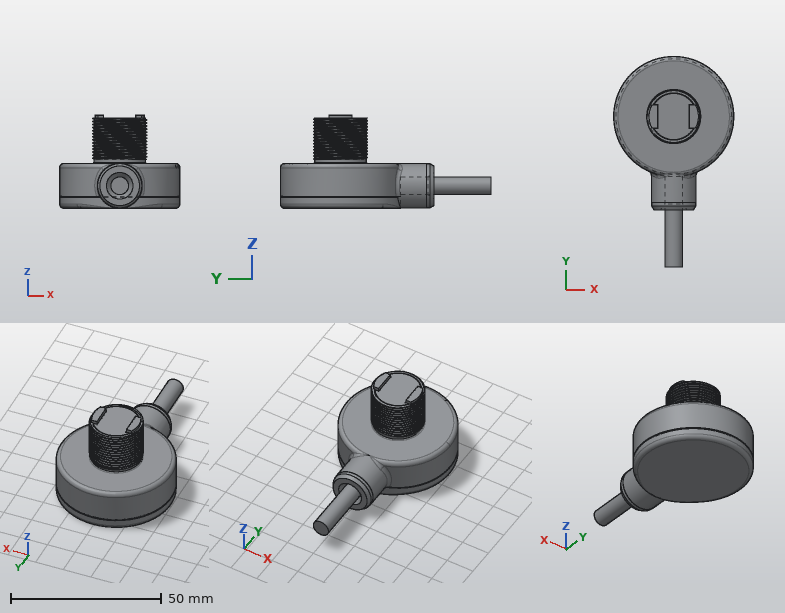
import cadquery as cq
import math

total_length = 70.2
body_diameter = 40.1
body_radius = body_diameter / 2
body_top = 15.0
body_bottom = 4.0
rim_round = 1.5
cover_height = 3.65
groove_depth = 0.8
runout_angle = 45
runout_radius = 0.01

boss_diameter = 14.95
boss_radius = boss_diameter / 2
boss_z = body_top - boss_radius
boss_end = 28.65
boss_blend = 1.5

gland_radius = 7.4
gland_end = 31.2
gland_chamfer_length = 1.3
gland_chamfer_depth = 0.8

cable_radius = 2.95
cable_start = body_radius
cable_end = total_length - body_radius
mouth_radius = 4.4
mouth_depth = 2.1

stem_top = 30.1
stem_radius = 8.65
stem_flare = 0.35

crest_diameter = 18.05
crest_radius = crest_diameter / 2
crest_width = 0.1
ridge_width = 0.6
thread_bottom = 16.35
thread_turns = 13.5
thread_pitch = (stem_top - thread_bottom) / thread_turns
thread_lead_in = 0.15
ridge_sink = 0.1

tab_top = 31.1
tab_radius = 8.2
tab_inner_x = 5.35
tab_width = 7.7
cap_radius = 7.85
cap_gap = 0.175
cap_groove_depth = 0.7


def disc(radius, bottom, top):
    """Upright cylinder about the Z axis."""
    return cq.Workplane("XY").workplane(offset=bottom).circle(radius).extrude(top - bottom)


def boss_rod(radius, start, end):
    """Cylinder on the boss axis between two distances from the Z axis."""
    return cq.Workplane("XZ", origin=(0, -start, boss_z)).circle(radius).extrude(end - start)


def boss_turned(profile):
    """Solid turned about the boss axis from (radius, distance from the Z axis) points."""
    points = [(radius, -distance) for radius, distance in profile]
    outline = cq.Workplane("XY", origin=(0, 0, boss_z)).polyline(points).close()
    return outline.revolve(360, (0, 0, 0), (0, 1, 0))


def make_cover_plate():
    """Disc whose lower rim is rounded, the rounding running out to nothing on the -Y side."""
    runout_x = body_radius * math.sin(math.radians(runout_angle))
    runout_y = -body_radius * math.cos(math.radians(runout_angle))
    middle_x = body_radius * math.sin(math.radians(runout_angle / 2))
    middle_y = -body_radius * math.cos(math.radians(runout_angle / 2))
    plate = (
        cq.Workplane("XY")
        .moveTo(runout_x, runout_y)
        .threePointArc((0, body_radius), (-runout_x, runout_y))
        .threePointArc((-middle_x, middle_y), (0, -body_radius))
        .threePointArc((middle_x, middle_y), (runout_x, runout_y))
        .close()
        .extrude(cover_height, clean=False)
    )
    rounding = cq.occ_impl.shapes.BRepFilletAPI_MakeFillet(plate.val().wrapped)
    for edge in plate.faces("<Z").edges().vals():
        start_radius, end_radius = [
            runout_radius if point.y < middle_y else rim_round
            for point in (edge.startPoint(), edge.endPoint())
        ]
        rounding.Add(start_radius, end_radius, edge.wrapped)
    return cq.Workplane("XY").add(cq.Shape.cast(rounding.Shape()).Solids())


def make_cover():
    """Base cover with a spigot that leaves the groove below the body."""
    spigot = disc(body_radius - groove_depth, cover_height, body_bottom)
    return make_cover_plate().union(spigot)


def make_gland():
    """Chamfered gland at the end of the boss."""
    return boss_turned([
        (0, boss_end),
        (gland_radius, boss_end),
        (gland_radius, gland_end - gland_chamfer_length),
        (gland_radius - gland_chamfer_depth, gland_end),
        (0, gland_end),
    ])


def make_mouth():
    """Flared opening of the cable hole."""
    return boss_turned([
        (0, gland_end - mouth_depth),
        (cable_radius, gland_end - mouth_depth),
        (mouth_radius, gland_end),
        (0, gland_end),
    ])


def make_body(cover):
    """Round body blended into the cable boss, which reaches down in front of the cover."""
    below_body = disc(gland_end, 0, body_bottom)
    boss = boss_rod(boss_radius, 0, boss_end)
    upper_boss = boss.cut(below_body)
    lower_boss = boss.intersect(below_body).cut(disc(body_radius - groove_depth, 0, body_bottom)).cut(cover)
    body = disc(body_radius, body_bottom, body_top).faces(">Z").edges().fillet(rim_round)
    body = body.union(upper_boss).edges("%BSPLINE").fillet(boss_blend)
    return body.union(lower_boss).union(make_gland())


def make_threaded_length():
    """Stretch of the stem with a helical ridge, cut off flat at both ends."""
    flank_slope = (ridge_width - crest_width) / 2 / (crest_radius - stem_radius)
    foot_radius = stem_radius - ridge_sink
    half_foot = ridge_width / 2 + ridge_sink * flank_slope
    half_crest = crest_width / 2
    section = (
        cq.Workplane("XZ")
        .moveTo(foot_radius, -half_foot)
        .lineTo(crest_radius, -half_crest)
        .lineTo(crest_radius, half_crest)
        .lineTo(foot_radius, half_foot)
        .close()
    )
    helix_bottom = thread_bottom - thread_lead_in - thread_pitch
    helix_height = stem_top + thread_pitch - helix_bottom
    helix = cq.Wire.makeHelix(thread_pitch, helix_height, stem_radius)
    ridge = section.sweep(cq.Workplane(helix), isFrenet=True).translate((0, 0, helix_bottom))
    core = disc(stem_radius, helix_bottom - thread_pitch, helix_bottom + helix_height + thread_pitch)
    threaded = core.union(ridge, clean=False)
    return threaded.intersect(disc(2 * crest_radius, thread_bottom, stem_top), clean=False)


def make_stem_foot():
    """Plain lower end of the stem with a rounded flare, turned about the Z axis."""
    return (
        cq.Workplane("XZ")
        .moveTo(0, body_top)
        .lineTo(stem_radius + stem_flare, body_top)
        .radiusArc((stem_radius, body_top + stem_flare), stem_flare)
        .lineTo(stem_radius, thread_bottom)
        .lineTo(0, thread_bottom)
        .close()
        .revolve(360, (0, 0, 0), (0, 1, 0))
    )


def make_stem():
    """Stem foot and thread with the cap groove and tabs at the top."""
    stem = make_stem_foot().union(make_threaded_length(), clean=False)
    return stem.cut(make_cap_groove(), clean=False).union(make_tabs(), clean=False)


def tab_blocks(margin, bottom, top):
    """Two blocks outside the tabs' inner faces, grown by a margin around the tabs."""
    inner_x = tab_inner_x - margin
    length = stem_radius - inner_x
    return (
        cq.Workplane("XY")
        .workplane(offset=bottom)
        .pushPoints([(side * (inner_x + length / 2), 0) for side in (-1, 1)])
        .rect(length, tab_width + 2 * margin)
        .extrude(top - bottom)
    )


def make_tabs():
    """Tabs with round outer faces, rooted at the floor of the cap groove."""
    floor = stem_top - cap_groove_depth
    return tab_blocks(0, floor, tab_top).intersect(disc(tab_radius, floor, tab_top))


def make_cap_groove():
    """Narrow groove around the cap, notched inward around each tab."""
    floor = stem_top - cap_groove_depth
    cap = disc(cap_radius - cap_gap, floor, stem_top).cut(tab_blocks(cap_gap, floor, stem_top))
    return disc(cap_radius, floor, stem_top).cut(cap)


def make_housing(cover):
    """Body, boss, gland and threaded stem in one piece."""
    cable_hole = boss_rod(cable_radius, cable_start, gland_end)
    return make_body(cover).cut(cable_hole).cut(make_mouth()).union(make_stem(), clean=False)


def make_cable():
    """Straight cable leaving through the gland."""
    return boss_rod(cable_radius, cable_start, cable_end)


cover = make_cover()
housing = make_housing(cover)
cable = make_cable()
result = cq.Compound.makeCompound([*housing.solids().vals(), *cover.solids().vals(), cable.val()])